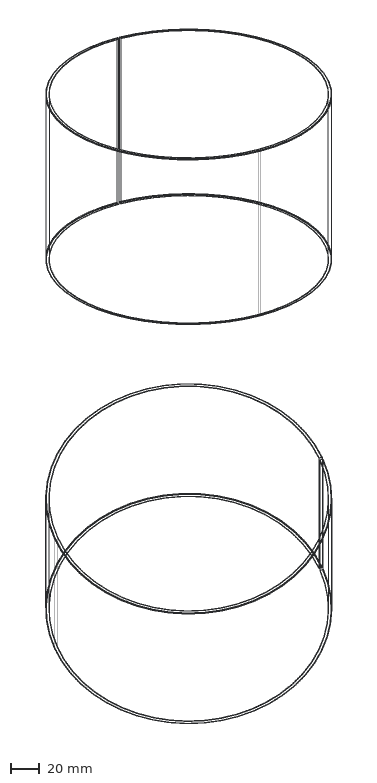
import cadquery as cq
import math

outer_diameter = 200.0
wall_thickness = 2.5
height = 130.0
outer_chamfer = 0.5
inner_chamfer = 0.2
slit_angle = 1.0
slit_clearance = 10.0

outer_radius = outer_diameter / 2
inner_radius = outer_radius - wall_thickness


def make_ring():
    """Thin tube about Z, standing on the XY plane, with chamfered rims at both ends."""
    wall_section = [
        (inner_radius, inner_chamfer),
        (inner_radius + inner_chamfer, 0),
        (outer_radius - outer_chamfer, 0),
        (outer_radius, outer_chamfer),
        (outer_radius, height - outer_chamfer),
        (outer_radius - outer_chamfer, height),
        (inner_radius + inner_chamfer, height),
        (inner_radius, height - inner_chamfer),
    ]
    return cq.Workplane("XZ").polyline(wall_section).close().revolve(360, (0, 0), (0, 1))


def make_slit_cutter():
    """Full-height wedge from the axis to the -X side, opening from the XZ plane towards +Y."""
    reach = outer_radius + slit_clearance
    opening = reach * math.tan(math.radians(slit_angle))
    wedge = [(0, 0), (-reach, 0), (-reach, opening)]
    return cq.Workplane("XY").polyline(wedge).close().extrude(height)


result = make_ring().cut(make_slit_cutter())